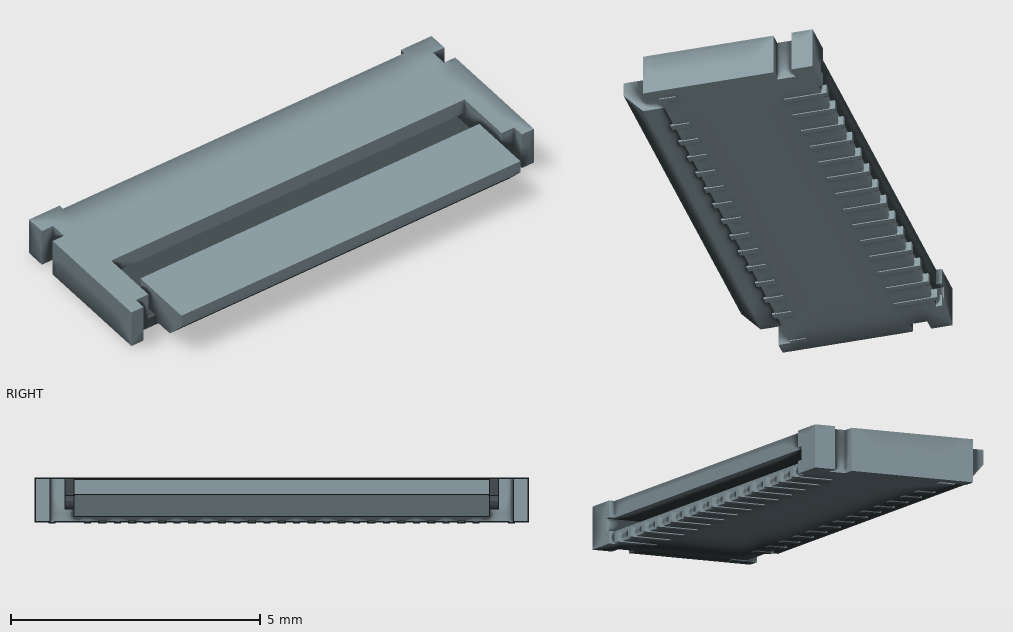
import cadquery as cq

total_length = 9.9
total_depth = 4.19
total_height = 0.9
standoff = 0.02

arm_depth = 3.55
rear_step_depth = 3.29
rear_step_inset = 0.3
front_recess_depth = 0.12
front_recess_length = 8.4
notch_start = 0.45
notch_end = 0.82
notch_inset = 0.28

cavity_length = 8.69
cavity_floor = 0.28
slot_height = 0.28
pocket_start = 2.0

rod_radius = slot_height / 2
rod_center_x = 2.76
flap_start = 2.76
flap_length = 8.34
flap_top = 0.87
flap_bottom = 0.13
flap_bevel_depth = 0.41
flap_bevel_height = 0.45

front_contact_count = 14
front_contact_span = 7.8
contact_pitch = front_contact_span / (front_contact_count - 1)
contact_width = 0.12
contact_height = 0.2
front_pad_depth = 0.89
rear_pad_width = 0.15
rear_pad_start = 2.95
rear_pad_end = 3.36
anchor_pad_inset = 0.34
pad_embed = 0.02


def block(x_start, x_end, y_center, width, z_bottom, z_top):
    """Box between two X places and two Z levels, centred on y_center."""
    size = (x_end - x_start, width, z_top - z_bottom)
    return cq.Workplane("XY").box(*size, centered=(False, True, False)).translate((x_start, y_center, z_bottom))


def row_places(count):
    """Y places of a centred row of contacts at the common pitch."""
    return [(i - (count - 1) / 2) * contact_pitch for i in range(count)]


def make_housing():
    housing = block(0, arm_depth, 0, total_length, standoff, total_height)
    rear_opening = total_length - 2 * rear_step_inset
    housing = housing.cut(block(rear_step_depth, arm_depth, 0, rear_opening, standoff, total_height))
    housing = housing.cut(block(0, front_recess_depth, 0, front_recess_length, standoff, total_height))
    for side in (-1, 1):
        end_y = side * total_length / 2
        housing = housing.cut(block(notch_start, notch_end, end_y, 2 * notch_inset, standoff, total_height))
    slot_top = cavity_floor + slot_height
    housing = housing.cut(block(0, rear_step_depth, 0, cavity_length, cavity_floor, slot_top))
    return housing.cut(block(pocket_start, rear_step_depth, 0, cavity_length, cavity_floor, total_height))


def make_rod():
    rod = cq.Workplane("XZ").circle(rod_radius).extrude(cavity_length)
    return rod.translate((rod_center_x, cavity_length / 2, cavity_floor + rod_radius))


def make_flap():
    profile = [
        (flap_start, flap_top),
        (total_depth, flap_top),
        (total_depth, flap_bottom + flap_bevel_height),
        (total_depth - flap_bevel_depth, flap_bottom),
        (rear_step_depth, flap_bottom),
        (rear_step_depth, cavity_floor),
        (flap_start, cavity_floor),
    ]
    flap = cq.Workplane("XZ").polyline(profile).close().extrude(flap_length)
    return flap.translate((0, flap_length / 2, 0))


def make_front_contact(y):
    tail = block(0, front_recess_depth, y, contact_width, 0, contact_height)
    pad = block(0, front_pad_depth, y, contact_width, 0, standoff + pad_embed)
    return tail.union(pad)


def make_rear_pad(y, width, x_end):
    return block(rear_pad_start, x_end, y, width, 0, standoff + pad_embed)


result = make_housing().union(make_rod()).union(make_flap())
for contact_y in row_places(front_contact_count):
    result = result.union(make_front_contact(contact_y))
for pad_y in row_places(front_contact_count - 1):
    result = result.union(make_rear_pad(pad_y, rear_pad_width, rear_pad_end))
for side in (-1, 1):
    anchor_y = side * (total_length / 2 - anchor_pad_inset)
    result = result.union(make_rear_pad(anchor_y, contact_width, rear_step_depth))